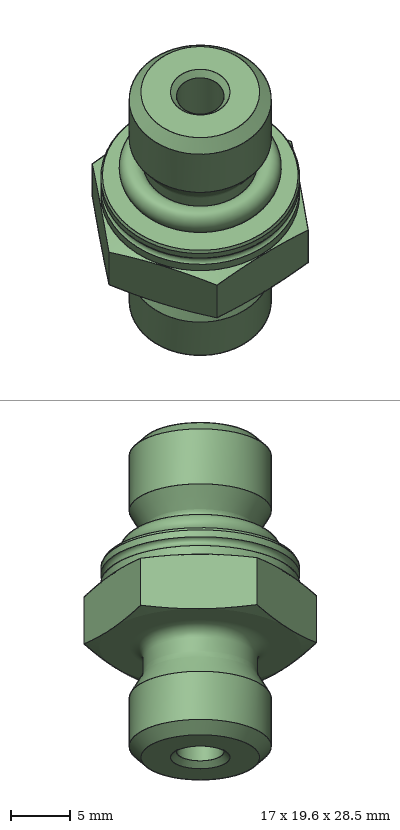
import cadquery as cq
import math

TOTAL_LENGTH = 28.5

THREAD_RADIUS = 12.0 / 2
THREAD_CHAMFER = 1.0
NECK_RADIUS = 4.85
UPPER_THREAD_START = 22.5
LOWER_THREAD_END = 5.4
RUNOUT_ANGLE = 30.0
RUNOUT_LENGTH = (THREAD_RADIUS - NECK_RADIUS) / math.tan(math.radians(RUNOUT_ANGLE))
UPPER_NECK_TOP = UPPER_THREAD_START - RUNOUT_LENGTH
LOWER_NECK_BOTTOM = LOWER_THREAD_END + RUNOUT_LENGTH
UPPER_BLEND_RADIUS = 0.5
LOWER_BLEND_RADIUS = 1.08

HEX_ACROSS_FLATS = 17.0
HEX_ACROSS_CORNERS = HEX_ACROSS_FLATS / math.cos(math.radians(30))
HEX_BOTTOM = 10.05
HEX_HEIGHT = 5.0
HEX_TOP = HEX_BOTTOM + HEX_HEIGHT
HEX_CHAMFER_ANGLE = 15.0
HEX_ROOT_FILLET = 1.08

COLLAR_RADIUS = 16.8 / 2
COLLAR_TOP = 17.55
COLLAR_CHAMFER_WIDTH = 0.15
COLLAR_CHAMFER_HEIGHT = 0.25
COLLAR_GROOVE_BOTTOM = 15.87
COLLAR_GROOVE_TOP = 16.67
COLLAR_GROOVE_DEPTH = 0.25

BORE_DIAMETER = 4.0
BORE_CHAMFER = 0.5

RING_OUTER_RADIUS = 6.85
RING_SECTION_RADIUS = 1.1
RING_CENTRE_RADIUS = RING_OUTER_RADIUS - RING_SECTION_RADIUS
RING_CENTRE_Z = 18.6


def make_hexagon():
    """Hexagon with corners on Y, its corners turned down by shallow cones at both ends."""
    prism = (
        cq.Workplane("XY", origin=(0, 0, HEX_BOTTOM))
        .polygon(6, HEX_ACROSS_CORNERS)
        .extrude(HEX_HEIGHT)
        .rotate((0, 0, 0), (0, 0, 1), 30)
    )
    face_radius = HEX_ACROSS_FLATS / 2
    corner_radius = HEX_ACROSS_CORNERS / 2
    corner_drop = (corner_radius - face_radius) * math.tan(math.radians(HEX_CHAMFER_ANGLE))
    turned_blank = (
        cq.Workplane("XZ")
        .moveTo(0, HEX_BOTTOM)
        .lineTo(face_radius, HEX_BOTTOM)
        .lineTo(corner_radius, HEX_BOTTOM + corner_drop)
        .lineTo(corner_radius, HEX_TOP - corner_drop)
        .lineTo(face_radius, HEX_TOP)
        .lineTo(0, HEX_TOP)
        .close()
        .revolve(360, (0, 0, 0), (0, 1, 0))
    )
    return prism.intersect(turned_blank)


def make_turned_body():
    """Everything round on the outside: both threaded ends, the necks and the collar."""
    thread_end_radius = THREAD_RADIUS - THREAD_CHAMFER
    groove_middle = (COLLAR_GROOVE_BOTTOM + COLLAR_GROOVE_TOP) / 2
    return (
        cq.Workplane("XZ")
        .moveTo(0, 0)
        .lineTo(thread_end_radius, 0)
        .lineTo(THREAD_RADIUS, THREAD_CHAMFER)
        .lineTo(THREAD_RADIUS, LOWER_THREAD_END)
        .lineTo(NECK_RADIUS, LOWER_NECK_BOTTOM)
        .lineTo(NECK_RADIUS, HEX_TOP)
        .lineTo(COLLAR_RADIUS, HEX_TOP)
        .lineTo(COLLAR_RADIUS, COLLAR_GROOVE_BOTTOM)
        .threePointArc(
            (COLLAR_RADIUS - COLLAR_GROOVE_DEPTH, groove_middle),
            (COLLAR_RADIUS, COLLAR_GROOVE_TOP),
        )
        .lineTo(COLLAR_RADIUS, COLLAR_TOP - COLLAR_CHAMFER_HEIGHT)
        .lineTo(COLLAR_RADIUS - COLLAR_CHAMFER_WIDTH, COLLAR_TOP)
        .lineTo(NECK_RADIUS, COLLAR_TOP)
        .lineTo(NECK_RADIUS, UPPER_NECK_TOP)
        .lineTo(THREAD_RADIUS, UPPER_THREAD_START)
        .lineTo(THREAD_RADIUS, TOTAL_LENGTH - THREAD_CHAMFER)
        .lineTo(thread_end_radius, TOTAL_LENGTH)
        .lineTo(0, TOTAL_LENGTH)
        .close()
        .revolve(360, (0, 0, 0), (0, 1, 0))
    )


def fillet_neck_edge(body, height, radius):
    """Round the circular neck edge that lies at the given height."""
    reach = NECK_RADIUS + 0.28
    tolerance = 0.03
    neck_zone = cq.selectors.BoxSelector(
        (-reach, -reach, height - tolerance),
        (reach, reach, height + tolerance),
        boundingbox=True,
    )
    return body.edges(neck_zone).fillet(radius)


def make_bore():
    """Through bore with a chamfered mouth at each end."""
    radius = BORE_DIAMETER / 2
    mouth_radius = radius + BORE_CHAMFER
    return (
        cq.Workplane("XZ")
        .moveTo(0, 0)
        .lineTo(mouth_radius, 0)
        .lineTo(radius, BORE_CHAMFER)
        .lineTo(radius, TOTAL_LENGTH - BORE_CHAMFER)
        .lineTo(mouth_radius, TOTAL_LENGTH)
        .lineTo(0, TOTAL_LENGTH)
        .close()
        .revolve(360, (0, 0, 0), (0, 1, 0))
    )


def make_sealing_ring():
    """O-ring seated on the collar around the upper neck."""
    return (
        cq.Workplane("XZ")
        .center(RING_CENTRE_RADIUS, RING_CENTRE_Z)
        .circle(RING_SECTION_RADIUS)
        .revolve(360, (-RING_CENTRE_RADIUS, 0, 0), (-RING_CENTRE_RADIUS, 1, 0))
    )


def make_fitting(ring):
    """Double-ended fitting with a matching seat for the sealing ring."""
    body = make_turned_body().union(make_hexagon())
    body = fillet_neck_edge(body, UPPER_NECK_TOP, UPPER_BLEND_RADIUS)
    body = fillet_neck_edge(body, LOWER_NECK_BOTTOM, LOWER_BLEND_RADIUS)
    body = fillet_neck_edge(body, HEX_BOTTOM, HEX_ROOT_FILLET)
    return body.cut(make_bore()).cut(ring)


sealing_ring = make_sealing_ring()
fitting = make_fitting(sealing_ring)

result = cq.Compound.makeCompound([fitting.solids().val(), sealing_ring.val()])